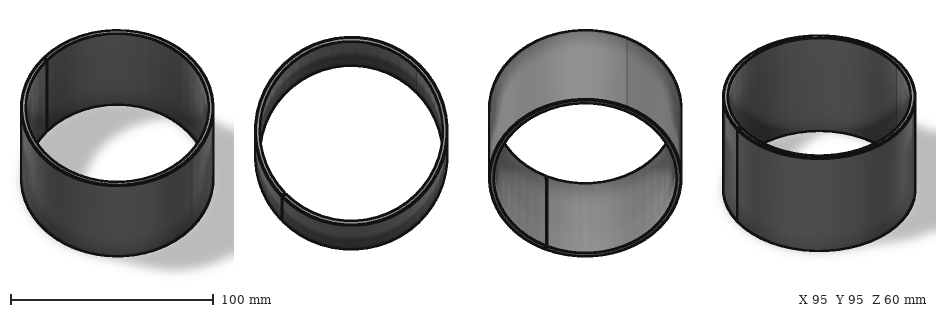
import cadquery as cq

outer_diameter = 95.0
wall = 2.5
height = 60.0
outer_chamfer = 0.5
inner_chamfer = 0.2
slit_width = 0.8

outer_radius = outer_diameter / 2
inner_radius = outer_radius - wall


def ring():
    """Revolve the wall section, with all four rim corners chamfered."""
    section = [
        (inner_radius + inner_chamfer, 0),
        (outer_radius - outer_chamfer, 0),
        (outer_radius, outer_chamfer),
        (outer_radius, height - outer_chamfer),
        (outer_radius - outer_chamfer, height),
        (inner_radius + inner_chamfer, height),
        (inner_radius, height - inner_chamfer),
        (inner_radius, inner_chamfer),
    ]
    return cq.Workplane("XZ").polyline(section).close().revolve(360, (0, 0), (0, 1))


def slit():
    """Radial cutter through the wall on the -X side, with one face on the XZ plane."""
    return cq.Workplane("XY").box(
        outer_diameter, slit_width, height, centered=(False, False, False)
    ).translate((-outer_diameter, 0, 0))


result = ring().cut(slit())